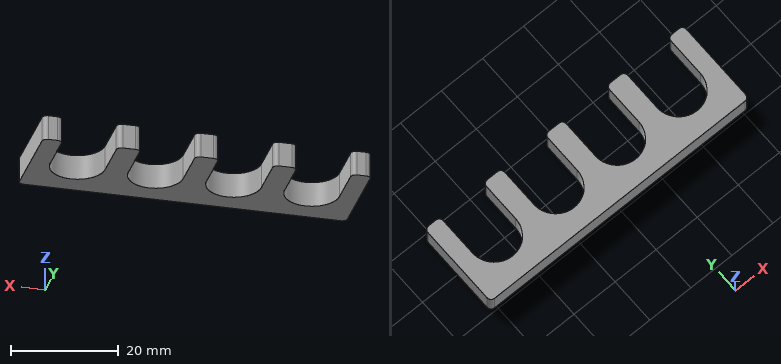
import cadquery as cq

length = 63.0
depth = 19.0
thickness = 5.0

slot_count = 4
slot_pitch = 15.0
slot_width = 10.5
slot_floor = 4.35
corner_radius = 1.0

slot_radius = slot_width / 2
slot_center_y = slot_floor + slot_radius


def slot_cutter(center_x):
    """U-shaped slot, round at the bottom and open toward +Y."""
    left = center_x - slot_radius
    right = center_x + slot_radius
    return (
        cq.Workplane("XY")
        .moveTo(left, depth)
        .lineTo(left, slot_center_y)
        .threePointArc((center_x, slot_floor), (right, slot_center_y))
        .lineTo(right, depth)
        .close()
        .extrude(thickness)
    )


comb = cq.Workplane("XY").box(length, depth, thickness, centered=(True, False, False))
for index in range(slot_count):
    offset = index - (slot_count - 1) / 2
    comb = comb.cut(slot_cutter(offset * slot_pitch))

spine_corners = comb.faces("<Y").edges("|Z")
finger_corners = comb.faces(">Y").edges("|Z")
result = comb.newObject(spine_corners.vals() + finger_corners.vals()).fillet(corner_radius)